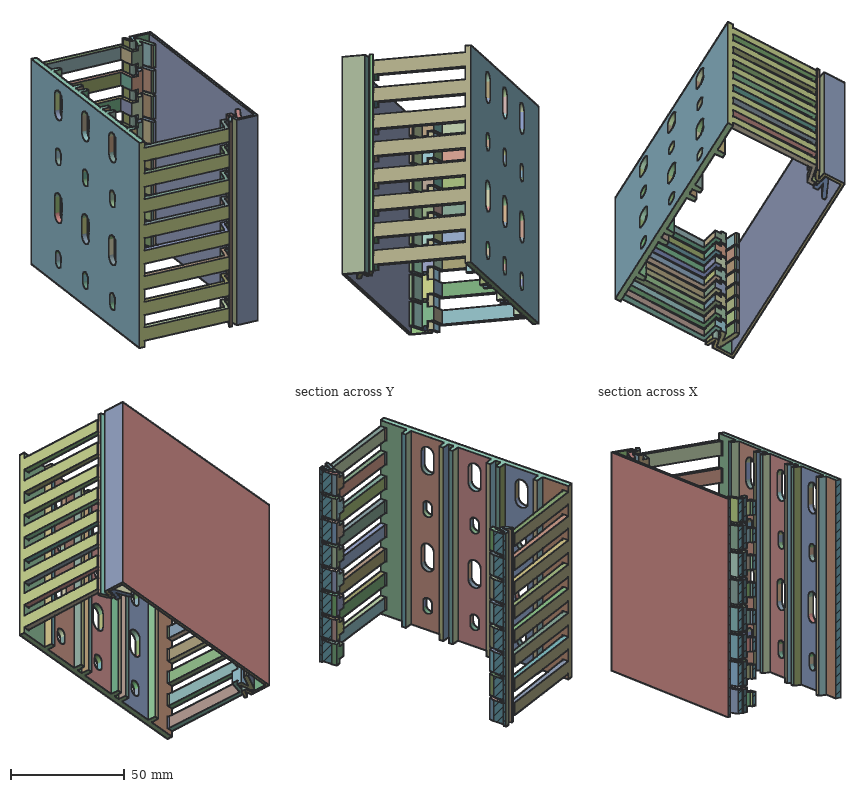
import cadquery as cq

width = 100.0
depth = 59.7
length = 100.0

plate_thickness = 2.7

rib_top = 6.6
rib_root_width = 2.5
rib_tip_width = 2.0
rib_offset = 10.0

column_pitch = width / 4
slot_columns = [-column_pitch, 0, column_pitch]
row_pitch = length / 4
large_slot_length = 14.2
large_slot_width = 6.5
small_slot_length = 8.0
small_slot_width = 4.7
large_slot_rows = [1.5 * row_pitch, 3.5 * row_pitch]
small_slot_rows = [0.5 * row_pitch, 2.5 * row_pitch]

finger_count = 8
finger_pitch = length / finger_count
finger_height = 6.5
hook_height = 11.0
finger_root_thickness = 2.7
finger_neck_thickness = 2.2
finger_root_chamfer = 0.5

shoulder_y = 45.2
neck_y = 43.9
ledge_in = 7.5
ledge_y = 47.0
lip_in = 9.3
lip_bottom_y = 45.6
lip_split_y = 48.7
lip_top_y = 51.1
hook_under_y = 49.5
barb_in = 1.7
barb_low_y = 50.6
barb_high_y = 52.4
barb_chamfer = 0.4
notch_in = 5.4
notch_y = 51.7
tongue_in = 11.9
tongue_top_in = 10.4
tongue_top_y = 56.2
tongue_bottom_y = 54.9
tongue_chamfer = 0.6

cover_inset = 0.4
cover_face_thickness = 1.3
crease_top_y = 49.2
crease_in = 4.0
crease_y = 48.6
crease_bottom_y = 46.9
bead_high_in = 4.4
bead_in = 5.1
bead_y = 48.3
bead_low_in = 4.5
bead_low_y = 47.1
skirt_bottom_y = 45.6
skirt_inner_in = 1.2


def from_left_side(points):
    """Turn (distance inward, y) pairs into coordinates on the left side of the duct."""
    return [(inward - width / 2, y) for inward, y in points]


def mirrored_pair(half):
    """The left-hand shape together with its mirror image about the YZ plane."""
    return half.union(half.mirror("YZ"))


def prism(points, bottom, height):
    """Closed polygon in XY, extruded upward from Z = bottom."""
    return cq.Workplane("XY").workplane(offset=bottom).polyline(points).close().extrude(height)


def make_plate():
    return cq.Workplane("XY").box(width, plate_thickness, length, centered=(True, False, False))


def make_rib(x):
    root = rib_root_width / 2
    tip = rib_tip_width / 2
    outline = [
        (x - root, plate_thickness),
        (x + root, plate_thickness),
        (x + tip, rib_top),
        (x - tip, rib_top),
    ]
    return prism(outline, 0, length)


def cut_slots(plate, rows, slot_length, slot_width):
    """Upright slots through the plate, one in each column of each row."""
    centres = [(x, z) for x in slot_columns for z in rows]
    slots = (
        cq.Workplane("XZ")
        .pushPoints(centres)
        .slot2D(slot_length, slot_width, angle=90)
        .extrude(-plate_thickness)
    )
    return plate.cut(slots)


def hook_underside_at(inward):
    """Y of the sloping underside of the hooks, against which the cover's bead rests."""
    slope = (hook_under_y - barb_low_y) / (ledge_in - barb_in)
    return barb_low_y + slope * (inward - barb_in)


def make_finger(centre_z):
    """Tapered finger with an inward ledge, carrying a taller hook that catches the cover."""
    stem_outline = from_left_side([
        (0, plate_thickness),
        (0, shoulder_y),
        (ledge_in, ledge_y),
        (ledge_in, lip_split_y),
        (lip_in, lip_split_y),
        (lip_in, lip_bottom_y),
        (finger_neck_thickness, neck_y),
        (finger_root_thickness, plate_thickness + finger_root_chamfer),
        (finger_root_thickness + finger_root_chamfer, plate_thickness),
    ])
    hook_outline = from_left_side([
        (ledge_in, lip_split_y),
        (ledge_in, hook_under_y),
        (barb_in + barb_chamfer, hook_underside_at(barb_in + barb_chamfer)),
        (barb_in, barb_low_y + barb_chamfer),
        (barb_in, barb_high_y - barb_chamfer),
        (barb_in + barb_chamfer, barb_high_y),
        (tongue_top_in, tongue_top_y),
        (tongue_in, tongue_top_y),
        (tongue_in, tongue_bottom_y),
        (tongue_in - tongue_chamfer, tongue_bottom_y - tongue_chamfer),
        (notch_in, notch_y),
        (lip_in, lip_top_y),
        (lip_in, lip_split_y),
    ])
    stem = prism(stem_outline, centre_z - finger_height / 2, finger_height)
    hook = prism(hook_outline, centre_z - hook_height / 2, hook_height)
    return stem.union(hook)


def make_base():
    base = make_plate()
    base = cut_slots(base, large_slot_rows, large_slot_length, large_slot_width)
    base = cut_slots(base, small_slot_rows, small_slot_length, small_slot_width)
    for column in slot_columns:
        for side in (-1, 1):
            base = base.union(make_rib(column + side * rib_offset))
    for index in range(finger_count):
        base = base.union(mirrored_pair(make_finger((index + 0.5) * finger_pitch)))
    return base


def make_cover():
    """Flat face with two side walls, each folded inward into a bead that snaps under the hooks."""
    wall_to_bead = from_left_side([
        (width / 2, depth - cover_face_thickness),
        (barb_in, depth - cover_face_thickness),
        (barb_in, barb_low_y),
        (bead_high_in, hook_underside_at(bead_high_in)),
    ])
    bead_arc = from_left_side([(bead_in, bead_y), (bead_low_in, bead_low_y)])
    skirt_to_face = from_left_side([
        (skirt_inner_in, skirt_bottom_y),
        (cover_inset, skirt_bottom_y),
        (cover_inset, crease_bottom_y),
        (crease_in, crease_y),
        (cover_inset, crease_top_y),
        (cover_inset, depth),
        (width / 2, depth),
    ])
    half = cq.Workplane("XY").polyline(wall_to_bead).threePointArc(*bead_arc)
    for point in skirt_to_face:
        half = half.lineTo(*point)
    return mirrored_pair(half.close().extrude(length))


base = make_base()
cover = make_cover()

result = cq.Compound.makeCompound([base.val(), cover.val()])